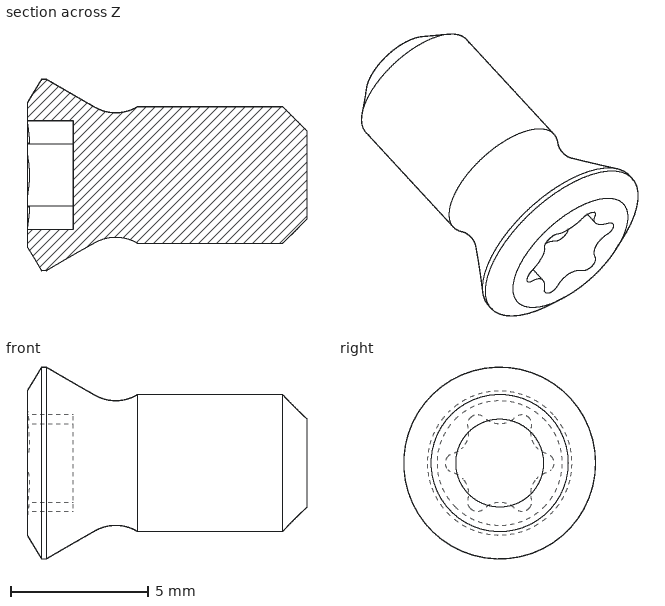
import cadquery as cq
import math

length = 10.2
head_radius = 3.5
face_radius = 2.63
head_bevel_length = 0.52
head_rim_length = 0.17
head_cone_angle = math.radians(30)

neck_radius = 2.27
neck_arc_radius = 1.53
neck_center_x = 3.22
shank_radius = 2.5
end_radius = 1.6
end_chamfer_length = 0.9

lobe_count = 6
lobe_tip_reach = 1.98
lobe_tip_radius = 0.36
valley_reach = 1.43
socket_depth = 1.67
socket_mouth_radius = 2.01
mouth_bevel_depth = 0.08


def make_body():
    """Revolve the screw profile, with the neck arc tangent to the head cone."""
    arc_center_radius = neck_radius + neck_arc_radius
    cone_end_x = neck_center_x - neck_arc_radius * math.sin(head_cone_angle)
    cone_end_radius = arc_center_radius - neck_arc_radius * math.cos(head_cone_angle)
    shank_start_x = neck_center_x + math.sqrt(
        neck_arc_radius**2 - (arc_center_radius - shank_radius) ** 2
    )
    profile = (
        cq.Workplane("XY")
        .lineTo(0, face_radius)
        .lineTo(head_bevel_length, head_radius)
        .lineTo(head_bevel_length + head_rim_length, head_radius)
        .lineTo(cone_end_x, cone_end_radius)
        .threePointArc((neck_center_x, neck_radius), (shank_start_x, shank_radius))
        .lineTo(length - end_chamfer_length, shank_radius)
        .lineTo(length, end_radius)
        .lineTo(length, 0)
        .close()
    )
    return profile.revolve(360, (0, 0, 0), (1, 0, 0))


def polar(radius, angle):
    return (radius * math.cos(angle), radius * math.sin(angle))


def make_socket():
    """Extrude the six-lobe outline, made of tangent tip and valley arcs."""
    half_pitch = math.pi / lobe_count
    tip_center = lobe_tip_reach - lobe_tip_radius
    valley_radius = (
        tip_center**2
        + valley_reach**2
        - 2 * tip_center * valley_reach * math.cos(half_pitch)
        - lobe_tip_radius**2
    ) / (2 * (lobe_tip_radius + tip_center * math.cos(half_pitch) - valley_reach))
    valley_center = polar(valley_reach + valley_radius, half_pitch)

    tip_share = lobe_tip_radius / (lobe_tip_radius + valley_radius)
    touch_y = tip_center + tip_share * (valley_center[0] - tip_center)
    touch_z = tip_share * valley_center[1]
    touch_radius = math.hypot(touch_y, touch_z)
    touch_angle = math.atan2(touch_z, touch_y)

    outline = cq.Workplane("YZ").moveTo(*polar(touch_radius, -touch_angle))
    for index in range(lobe_count):
        tip_angle = index * 2 * half_pitch
        next_tip_angle = tip_angle + 2 * half_pitch
        outline = outline.threePointArc(
            polar(lobe_tip_reach, tip_angle),
            polar(touch_radius, tip_angle + touch_angle),
        ).threePointArc(
            polar(valley_reach, tip_angle + half_pitch),
            polar(touch_radius, next_tip_angle - touch_angle),
        )
    return outline.close().extrude(socket_depth)


def make_mouth_bevel():
    """Shallow conical lead-in narrowing to the socket valleys."""
    return (
        cq.Workplane("XY")
        .lineTo(0, socket_mouth_radius)
        .lineTo(mouth_bevel_depth, valley_reach)
        .lineTo(mouth_bevel_depth, 0)
        .close()
        .revolve(360, (0, 0, 0), (1, 0, 0))
    )


result = make_body().cut(make_socket()).cut(make_mouth_bevel())